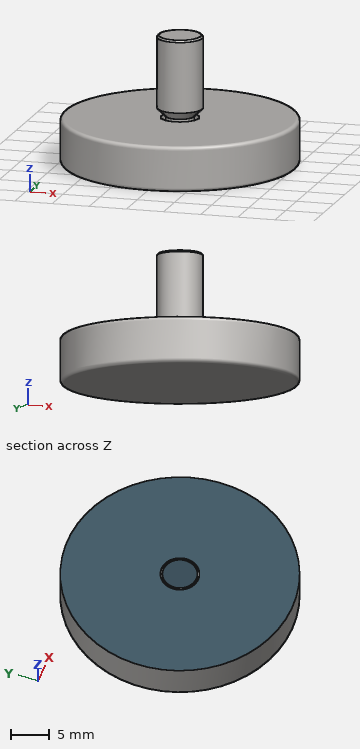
import cadquery as cq

foot_diameter = 31.0
foot_height = 6.0
foot_edge_radius = 0.5
socket_diameter = 5.0
socket_depth = 1.98

stud_diameter = 6.0
stud_top = 17.0
stud_tip_chamfer = 0.25
neck_diameter = 3.72
neck_exposed_height = 0.2
shoulder_height = 1.12
flange_top_depth = 1.0
flange_fillet_radius = 0.5

socket_floor = foot_height - socket_depth
flange_top = foot_height - flange_top_depth
neck_top = foot_height + neck_exposed_height
shoulder_top = neck_top + shoulder_height


def make_foot():
    """Round foot with rounded rims and a blind central socket."""
    disc = cq.Workplane("XY").circle(foot_diameter / 2).extrude(foot_height)
    disc = disc.edges().fillet(foot_edge_radius)
    return disc.faces(">Z").workplane().hole(socket_diameter, socket_depth)


def make_stud():
    """Revolved stud: base flange filling the socket, filleted neck, conical shoulder, shank and chamfered tip."""
    neck_radius = neck_diameter / 2
    flange_radius = socket_diameter / 2
    stud_radius = stud_diameter / 2
    profile = (
        cq.Workplane("XZ")
        .moveTo(0, socket_floor)
        .lineTo(flange_radius, socket_floor)
        .lineTo(flange_radius, flange_top)
        .lineTo(neck_radius + flange_fillet_radius, flange_top)
        .radiusArc((neck_radius, flange_top + flange_fillet_radius), flange_fillet_radius)
        .lineTo(neck_radius, neck_top)
        .lineTo(stud_radius, shoulder_top)
        .lineTo(stud_radius, stud_top - stud_tip_chamfer)
        .lineTo(stud_radius - stud_tip_chamfer, stud_top)
        .lineTo(0, stud_top)
        .close()
    )
    return profile.revolve(360, (0, 0, 0), (0, 1, 0))


foot = make_foot()
stud = make_stud()

result = cq.Compound.makeCompound([foot.val(), stud.val()])